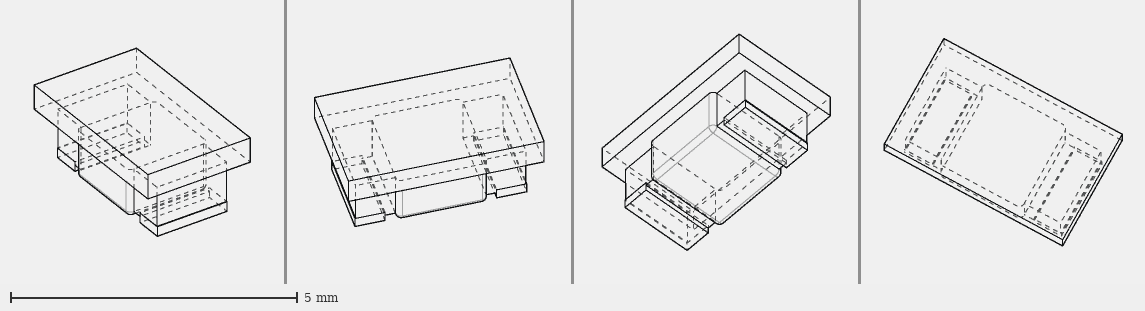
import cadquery as cq

plate_length = 3.56
plate_width = 2.16
plate_thickness = 0.502
total_height = 1.51
plate_bottom = total_height - plate_thickness

block_length = 1.65
block_width = 1.67
block_clearance = 0.03
block_round = 0.1
block_height = plate_bottom - block_clearance

legs_span = 3.097
leg_width = block_width - 2 * block_round
leg_length = (legs_span - block_length) / 2
leg_bottom = block_clearance + block_round

pads_span = 3.125
pad_length = 0.55
pad_height = 0.2

SIDES = (-1, 1)


def box_on(length, width, height, x_centre, bottom):
    """Box centred on Y = 0, standing on the given Z level."""
    return (
        cq.Workplane("XY")
        .box(length, width, height, centered=(True, True, False))
        .translate((x_centre, 0, bottom))
    )


def make_plate():
    return box_on(plate_length, plate_width, plate_thickness, 0, plate_bottom)


def make_block():
    block = box_on(block_length, block_width, block_height, 0, block_clearance)
    return block.edges("|Z or <Z").fillet(block_round)


def make_pad(side):
    x_centre = side * (pads_span - pad_length) / 2
    return box_on(pad_length, leg_width, pad_height, x_centre, 0)


def make_leg(side):
    x_centre = side * (block_length + leg_length) / 2
    leg = box_on(leg_length, leg_width, plate_bottom - leg_bottom, x_centre, leg_bottom)
    return leg.cut(make_pad(side))


plate = make_plate()
block = make_block()
legs = [make_leg(side) for side in SIDES]
pads = [make_pad(side) for side in SIDES]

result = cq.Compound.makeCompound(
    [plate.val(), block.val()]
    + [leg.val().Solids()[0] for leg in legs]
    + [pad.val() for pad in pads]
)